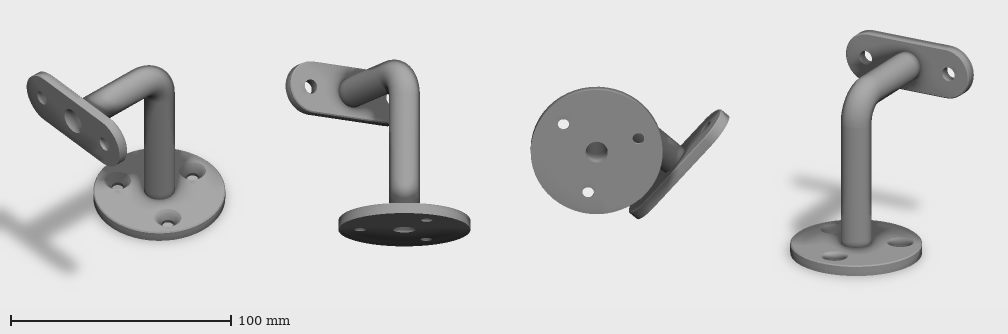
import cadquery as cq

total_height = 87.0
base_diameter = 59.9
plate_length = 64.0
plate_width = 24.0
flange_thickness = 5.0
edge_chamfer = 0.5
reach = 52.0

tube_diameter = 14.0
bore_diameter = 10.0
bend_radius = 12.0
mouth_diameter = 12.0
mouth_depth = 3.0

base_hole_count = 3
base_hole_circle_radius = 20.0
base_hole_diameter = 5.3
countersink_diameter = 12.2
countersink_angle = 90.0
plate_hole_diameter = 6.5
plate_hole_spacing = 43.0

arm_height = total_height - plate_width / 2


def swept_rod(diameter):
    """Round rod from the underside of the base, round the bend, to the plate's outer face."""
    centreline = (
        cq.Workplane("YZ")
        .moveTo(0, 0)
        .lineTo(0, arm_height - bend_radius)
        .tangentArcPoint((-bend_radius, arm_height), relative=False)
        .lineTo(-reach, arm_height)
    )
    return cq.Workplane("XY").circle(diameter / 2).sweep(centreline)


def base_disc():
    """Round base with three countersunk screw holes."""
    return (
        cq.Workplane("XY")
        .circle(base_diameter / 2)
        .extrude(flange_thickness)
        .faces(">Z")
        .chamfer(edge_chamfer)
        .faces(">Z")
        .workplane()
        .polarArray(base_hole_circle_radius, 90, 360, base_hole_count)
        .cskHole(base_hole_diameter, countersink_diameter, countersink_angle)
    )


plate_face = cq.Workplane("XZ", origin=(0, -reach, arm_height))


def mounting_plate():
    """Upright round-ended plate with two plain screw holes."""
    plate = (
        plate_face.slot2D(plate_length, plate_width)
        .extrude(-flange_thickness)
        .faces(">Y")
        .chamfer(edge_chamfer)
    )
    holes = (
        plate_face.rarray(plate_hole_spacing, 0.9, 2, 1)
        .circle(plate_hole_diameter / 2)
        .extrude(-flange_thickness)
    )
    return plate.cut(holes)


def tapered_mouth():
    """Conical opening that narrows from the plate face to the bore."""
    return (
        plate_face.circle(mouth_diameter / 2)
        .workplane(offset=-mouth_depth)
        .circle(bore_diameter / 2)
        .loft()
    )


solid_bracket = base_disc().union(swept_rod(tube_diameter)).union(mounting_plate())
result = solid_bracket.cut(swept_rod(bore_diameter)).cut(tapered_mouth())